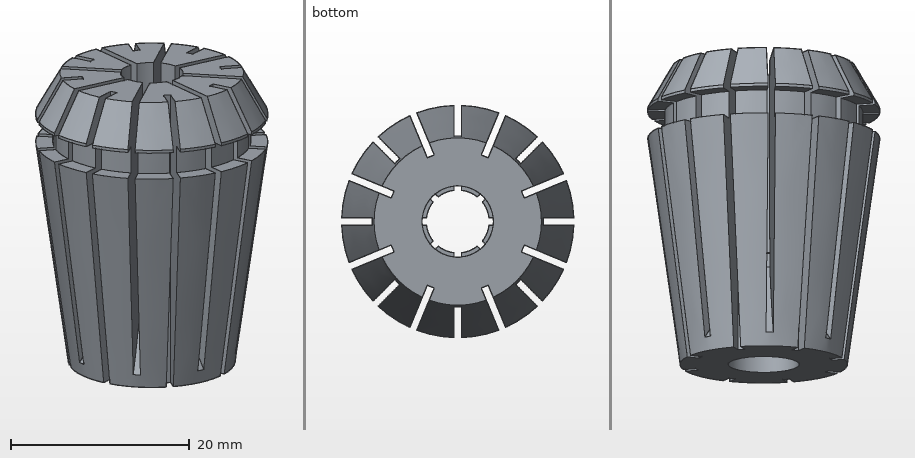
import cadquery as cq
import math

length = 34.0
max_radius = 13.0
body_taper = 8.0
nose_taper = 30.0
shoulder_height = 25.87
neck_radius = 11.1
neck_top = 28.95
rim_height = 0.35

bore_radius = 3.5
relief_radius = 3.98
relief_depth = 13.6

slits_per_set = 8
slit_width = 0.8
floor_outer_height = 1.53
floor_inner_height = 10.25
floor_arc_radius = 35.02
rear_slit_floor_radius = 7.9

base_radius = max_radius - shoulder_height * math.tan(math.radians(body_taper))
nose_base = neck_top + rim_height
nose_radius = max_radius - (length - nose_base) * math.tan(math.radians(nose_taper))
slit_pitch = 360.0 / slits_per_set


def make_body():
    """Revolve the outer profile and bore it through."""
    outer = (
        cq.Workplane("XZ")
        .polyline(
            [
                (0, 0),
                (base_radius, 0),
                (max_radius, shoulder_height),
                (neck_radius, shoulder_height),
                (neck_radius, neck_top),
                (max_radius, neck_top),
                (max_radius, nose_base),
                (nose_radius, length),
                (0, length),
            ]
        )
        .close()
        .revolve(360, (0, 0), (0, 1))
    )
    bore = cq.Workplane("XY").circle(bore_radius).extrude(length)
    relief = cq.Workplane("XY").circle(relief_radius).extrude(relief_depth)
    return outer.cut(bore).cut(relief)


def make_top_slit():
    """Disc-shaped saw cut, open at the nose, whose rim forms the curved slit floor."""
    floor_outer_radius = base_radius + floor_outer_height * math.tan(math.radians(body_taper))
    run = floor_outer_radius - relief_radius
    rise = floor_inner_height - floor_outer_height
    chord = math.hypot(run, rise)
    centre_offset = math.sqrt(floor_arc_radius**2 - (chord / 2) ** 2)
    centre_radius = (floor_outer_radius + relief_radius) / 2 + centre_offset * rise / chord
    centre_height = (floor_outer_height + floor_inner_height) / 2 + centre_offset * run / chord
    return (
        cq.Workplane("XZ")
        .center(centre_radius, centre_height)
        .circle(floor_arc_radius)
        .extrude(slit_width / 2, both=True)
    )


def make_rear_slit():
    """Full-height slit from the outside in to a flat floor, clear of the bore."""
    return (
        cq.Workplane("XY")
        .box(max_radius, slit_width, length, centered=(False, True, False))
        .translate((rear_slit_floor_radius, 0, 0))
    )


def cut_around(body, cutter, start_angle):
    """Cut the same slit at every pitch around the Z axis."""
    for index in range(slits_per_set):
        angle = start_angle + index * slit_pitch
        body = body.cut(cutter.rotate((0, 0, 0), (0, 0, 1), angle))
    return body


result = make_body()
result = cut_around(result, make_top_slit(), 0)
result = cut_around(result, make_rear_slit(), slit_pitch / 2)